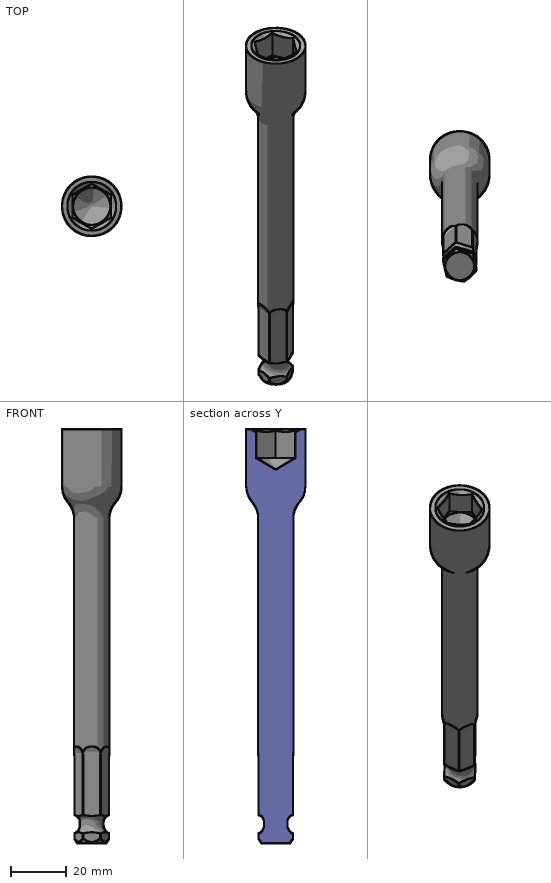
import cadquery as cq
import math

total_length = 150.0
head_radius = 10.8
shaft_radius = 6.5

neck_top = 129.2
neck_bottom = 117.9

shank_apothem = 5.5
shank_corner_radius = 6.3
shank_bottom = 10.2
flat_top = 32.0
runout_radius = 6.0

groove_radius = 4.4
groove_top = 7.8
groove_bottom = 6.5
tip_shoulder = 3.6
tip_chamfer_height = 1.6
tip_end_radius = 5.2

socket_apothem = 7.0
socket_depth = 10.5
socket_lead_in_radius = 8.8
socket_lead_in_angle = 30.0
drill_radius = 6.8
drill_half_angle = 59.0

hex_sides = 6
cut_margin = 1.5


def arc_middle(start, end):
    """Return the middle point of an arc that leaves start parallel to Z and reaches end."""
    step = end[0] - start[0]
    rise = end[1] - start[1]
    radius = (step**2 + rise**2) / (2 * abs(step))
    half_turn = math.atan2(abs(step), abs(rise))
    middle_step = math.copysign(radius * (1 - math.cos(half_turn)), step)
    middle_rise = math.copysign(radius * math.sin(half_turn), rise)
    return (start[0] + middle_step, start[1] + middle_rise)


def make_body():
    """Revolve the round profile of tip, groove, shaft, neck and head."""
    tip_edge = (shank_corner_radius, tip_shoulder)
    groove_low = (groove_radius, groove_bottom)
    groove_high = (groove_radius, groove_top)
    shank_edge = (shank_corner_radius, shank_bottom)
    neck_low = (shaft_radius, neck_bottom)
    neck_middle = ((head_radius + shaft_radius) / 2, (neck_top + neck_bottom) / 2)
    neck_high = (head_radius, neck_top)

    return (
        cq.Workplane("XZ")
        .lineTo(tip_end_radius, 0)
        .lineTo(shank_corner_radius, tip_chamfer_height)
        .lineTo(*tip_edge)
        .threePointArc(arc_middle(groove_low, tip_edge), groove_low)
        .lineTo(*groove_high)
        .threePointArc(arc_middle(groove_high, shank_edge), shank_edge)
        .lineTo(shank_corner_radius, flat_top)
        .lineTo(shaft_radius, flat_top)
        .lineTo(*neck_low)
        .threePointArc(arc_middle(neck_low, neck_middle), neck_middle)
        .threePointArc(arc_middle(neck_high, neck_middle), neck_high)
        .lineTo(head_radius, total_length)
        .lineTo(0, total_length)
        .close()
        .revolve(360, (0, 0), (0, 1))
    )


def make_flat_cutter(angle):
    """Return the block that mills one shank flat, with a curved run-out at its top."""
    outside = shaft_radius + cut_margin
    depth = outside - shank_apothem
    flat_end = (shank_apothem, flat_top)
    runout_height = math.sqrt(runout_radius**2 - (runout_radius - depth) ** 2)
    runout_end = (outside, flat_top + runout_height)
    return (
        cq.Workplane("YZ")
        .moveTo(shank_apothem, -cut_margin)
        .lineTo(*flat_end)
        .threePointArc(arc_middle(flat_end, runout_end), runout_end)
        .lineTo(outside, -cut_margin)
        .close()
        .extrude(outside, both=True)
        .rotate((0, 0, 0), (0, 0, 1), angle)
    )


def make_socket():
    """Return the hexagonal recess with its conical lead-in and drill point."""
    floor = total_length - socket_depth
    corner_diameter = 2 * socket_apothem / math.cos(math.pi / hex_sides)
    recess = (
        cq.Workplane("XY", origin=(0, 0, floor))
        .polygon(hex_sides, corner_diameter)
        .extrude(socket_depth)
        .rotate((0, 0, 0), (0, 0, 1), 90)
    )
    lead_in_height = socket_lead_in_radius * math.tan(math.radians(socket_lead_in_angle))
    lead_in = cq.Workplane(cq.Solid.makeCone(0, socket_lead_in_radius, lead_in_height))
    lead_in = lead_in.translate((0, 0, total_length - lead_in_height))
    point_height = drill_radius / math.tan(math.radians(drill_half_angle))
    drill_point = cq.Workplane(cq.Solid.makeCone(0, drill_radius, point_height))
    drill_point = drill_point.translate((0, 0, floor - point_height))
    return recess.union(lead_in).union(drill_point)


result = make_body()
for side in range(hex_sides):
    result = result.cut(make_flat_cutter(side * 360 / hex_sides))
result = result.cut(make_socket())